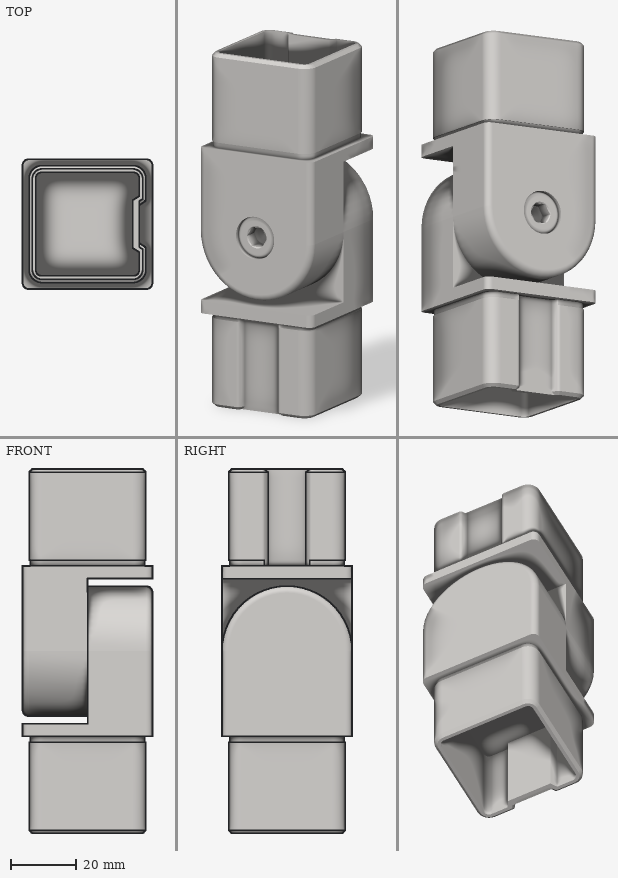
import cadquery as cq
import math

total_height = 112.0
body_width = 40.0
half_height = total_height / 2
half_width = body_width / 2
body_edge_radius = 2.0

flange_top = 26.2
flange_thickness = 3.9
flange_bottom = flange_top - flange_thickness

tube_width = 36.0
tube_corner_radius = 4.0
cavity_width = 31.8
cavity_corner_radius = 1.8
rim_chamfer = 1.0
neck_depth = 0.3
neck_height = 1.8
wall = (tube_width - cavity_width) / 2
tube_half = tube_width / 2
cavity_half = cavity_width / 2
tube_length = half_height - flange_top

channel_depth = wall
channel_floor_half = 5.8
channel_mouth_half = 7.2
channel_edge_radius = 1.1
flank_slope = (channel_mouth_half - channel_floor_half) / channel_depth
rib_half_width = 7.3

pin_radius = 6.7
pin_edge_radius = 1.0
pin_recess = 1.0
pin_reach = half_width / 2
socket_across_flats = 6.0
socket_depth = 4.5
socket_tip_angle = 120.0
socket_mouth_chamfer = 0.3


def square_bar(width, corner_radius, bottom, height):
    """Upright square bar with rounded vertical edges."""
    bar = cq.Workplane("XY").workplane(offset=bottom).rect(width, width).extrude(height)
    return bar.edges("|Z").fillet(corner_radius)


def channel_bar(face_x, floor_half):
    """Upright bar whose flanks spread from its floor, one channel depth below a face, to as far beyond it."""
    mouth_half = floor_half + flank_slope * 2 * channel_depth
    floor_x = face_x - channel_depth
    mouth_x = face_x + channel_depth
    return (
        cq.Workplane("XY").workplane(offset=flange_top)
        .moveTo(floor_x, -floor_half)
        .lineTo(mouth_x, -mouth_half)
        .lineTo(mouth_x, mouth_half)
        .lineTo(floor_x, floor_half)
        .close()
        .extrude(tube_length)
    )


def make_tube():
    """Hollow spigot with a side channel, a chamfered rim and a relieved neck."""
    tube = square_bar(tube_width, tube_corner_radius, flange_top, tube_length)
    tube = tube.cut(channel_bar(tube_half, channel_floor_half))
    mouth_edges = cq.selectors.BoxSelector(
        (tube_half - channel_depth / 2, -channel_mouth_half - channel_depth, flange_top),
        (tube_half + channel_depth / 2, channel_mouth_half + channel_depth, half_height),
    )
    tube = tube.edges("|Z").edges(mouth_edges).fillet(channel_edge_radius)

    floor_point = (tube_half - channel_depth, 0, half_height)
    floor_edge = cq.selectors.NearestToPointSelector(floor_point)
    end_edges = cq.selectors.DirectionMinMaxSelector(cq.Vector(0, 0, 1))
    rim_edges = cq.selectors.SubtractSelector(end_edges, floor_edge)
    tube = tube.edges(rim_edges).chamfer(rim_chamfer)

    neck_sleeve = square_bar(tube_width, tube_corner_radius, flange_top, neck_height).cut(
        square_bar(tube_width - 2 * neck_depth, tube_corner_radius - neck_depth, flange_top, neck_height)
    )
    tube = tube.cut(neck_sleeve)

    cavity = square_bar(cavity_width, cavity_corner_radius, flange_top, tube_length)
    cavity = cavity.cut(channel_bar(cavity_half, rib_half_width))
    return tube.cut(cavity)


def make_arm():
    """Round-ended cheek on the -X side of the parting plane, its outer edge rounded."""
    arm = (
        cq.Workplane("YZ")
        .moveTo(-half_width, half_height)
        .lineTo(-half_width, 0)
        .threePointArc((0, -half_width), (half_width, 0))
        .lineTo(half_width, half_height)
        .close()
        .extrude(-half_width)
    )
    arm = arm.faces("<X").edges().fillet(body_edge_radius)
    above_flange = cq.Workplane("XY").workplane(offset=flange_top).rect(2 * body_width, body_width)
    return arm.cut(above_flange.extrude(tube_length))


def make_housing():
    """Arm, flange and tube as one solid, tube upward."""
    flange = square_bar(body_width, body_edge_radius, flange_bottom, flange_thickness)
    return make_arm().union(flange).union(make_tube())


def pin_bore():
    """Cylinder removed for the pin, from the outer -X face to the inner end of the pin."""
    return cq.Workplane("YZ").workplane(offset=-half_width).circle(pin_radius).extrude(half_width + pin_reach)


def make_pin():
    """Pivot pin sunk below the -X face, with a rounded head and a hex socket."""
    head_x = -half_width + pin_recess
    pin = cq.Workplane("YZ").workplane(offset=head_x).circle(pin_radius).extrude(pin_reach - head_x)
    pin = pin.faces("<X").edges().fillet(pin_edge_radius)

    corner_diameter = socket_across_flats / math.cos(math.pi / 6)
    hexagon = cq.Workplane("YZ").workplane(offset=head_x).polygon(6, corner_diameter).extrude(socket_depth)
    tip_radius = socket_across_flats / 2
    tip_length = tip_radius / math.tan(math.radians(socket_tip_angle / 2))
    tip = cq.Solid.makeCone(
        tip_radius, 0, tip_length, cq.Vector(head_x + socket_depth, 0, 0), cq.Vector(1, 0, 0)
    )
    mouth_radius = corner_diameter / 2
    mouth = cq.Solid.makeCone(
        mouth_radius, mouth_radius - socket_mouth_chamfer, socket_mouth_chamfer,
        cq.Vector(head_x, 0, 0), cq.Vector(1, 0, 0),
    )
    return pin.cut(hexagon).cut(tip).cut(mouth)


housing = make_housing()
upper_housing = housing.cut(pin_bore())
lower_housing = housing.rotate((0, 0, 0), (0, 1, 0), 180).cut(pin_bore())
pin = make_pin()

result = cq.Compound.makeCompound([upper_housing.val(), lower_housing.val(), pin.val()])